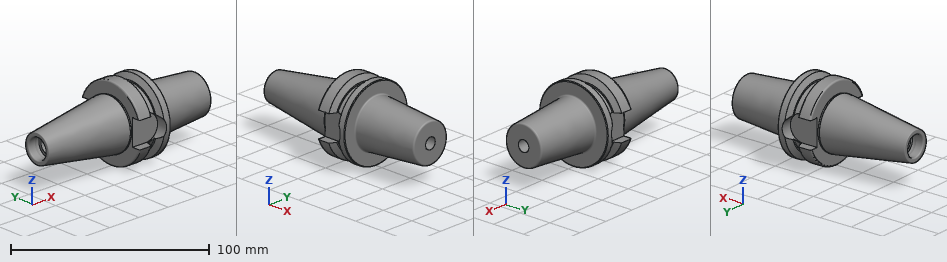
import cadquery as cq
import math

length = 108.4
gauge_x = 48.5
flange_start = 50.3
flange_end = 70.4

gauge_radius = 31.8 / 2
taper_ratio = 7 / 24
taper_end_radius = gauge_radius - gauge_x * taper_ratio / 2
taper_edge_round = 0.4
neck_radius = 31.2 / 2
neck_x = 49.4

flange_radius = 46.0 / 2
flange_front_round = 1.0
flange_back_chamfer = 0.4
groove_x = 62.0
groove_top_width = 8.0
groove_bottom_width = 4.1
groove_floor_radius = 18.8
flank_angle = 60
flank_depth = (groove_top_width - groove_bottom_width) / 2 * math.tan(math.radians(flank_angle))
flank_foot_radius = flange_radius - flank_depth

nose_end_radius = 12.0
nose_half_angle = 4.5
nose_root_radius = nose_end_radius + (length - flange_end) * math.tan(math.radians(nose_half_angle))
nose_round = 1.0
nose_root_fillet = 0.9

slot_width = 16.0
slot_end_x = 67.4
slot_floor_y = 16.3

mouth_radius = 12.5 / 2
mouth_round = 0.8
mouth_depth = 4.4
relief_start = 5.7
relief_radius = 13.1 / 2
relief_end = 7.3
thread_radius = 10.1 / 2
thread_end = 23.8
through_radius = 6.9 / 2
drill_point_angle = 118


def make_taper():
    taper_points = [
        (0, 0),
        (0, taper_end_radius),
        (gauge_x, gauge_radius),
        (neck_x - (gauge_radius - neck_radius), gauge_radius),
        (neck_x, neck_radius),
        (flange_start, neck_radius),
        (flange_start, 0),
    ]
    taper = cq.Workplane("XY").polyline(taper_points).close().revolve(360, (0, 0), (1, 0))
    return taper.faces("<X").edges().fillet(taper_edge_round)


def make_flange():
    flange = (
        cq.Workplane("YZ", origin=(flange_start, 0, 0))
        .circle(flange_radius)
        .extrude(flange_end - flange_start)
    )
    flange = flange.faces("<X").edges().fillet(flange_front_round)
    flange = flange.faces(">X").edges().chamfer(flange_back_chamfer)
    groove_points = [
        (groove_x - groove_top_width / 2, flange_radius),
        (groove_x - groove_bottom_width / 2, flank_foot_radius),
        (groove_x - groove_bottom_width / 2, groove_floor_radius),
        (groove_x + groove_bottom_width / 2, groove_floor_radius),
        (groove_x + groove_bottom_width / 2, flank_foot_radius),
        (groove_x + groove_top_width / 2, flange_radius),
    ]
    groove = cq.Workplane("XY").polyline(groove_points).close().revolve(360, (0, 0), (1, 0))
    return flange.cut(groove)


def make_nose():
    nose_points = [
        (flange_end, 0),
        (flange_end, nose_root_radius),
        (length, nose_end_radius),
        (length, 0),
    ]
    nose = cq.Workplane("XY").polyline(nose_points).close().revolve(360, (0, 0), (1, 0))
    return nose.faces(">X").edges().fillet(nose_round)


def make_slot(side):
    """Round-ended slot, open toward the taper; side is -1 or +1 along Y."""
    end_radius = slot_width / 2
    slot_depth = flange_radius - slot_floor_y
    return (
        cq.Workplane("XZ", origin=(0, side * slot_floor_y, 0))
        .moveTo(flange_start, -end_radius)
        .lineTo(slot_end_x - end_radius, -end_radius)
        .threePointArc((slot_end_x, 0), (slot_end_x - end_radius, end_radius))
        .lineTo(flange_start, end_radius)
        .close()
        .extrude(-side * slot_depth)
    )


def make_bore():
    """Rounded mouth, pilot, relief, threaded length with a drill point, and through hole."""
    point_length = (thread_radius - through_radius) / math.tan(math.radians(drill_point_angle / 2))
    mouth_mid = mouth_round * (1 - math.sqrt(0.5))
    return (
        cq.Workplane("XY")
        .moveTo(0, 0)
        .lineTo(0, mouth_radius + mouth_round)
        .threePointArc((mouth_mid, mouth_radius + mouth_mid), (mouth_round, mouth_radius))
        .lineTo(mouth_depth, mouth_radius)
        .lineTo(relief_start, relief_radius)
        .lineTo(relief_end, relief_radius)
        .lineTo(relief_end, thread_radius)
        .lineTo(thread_end, thread_radius)
        .lineTo(thread_end + point_length, through_radius)
        .lineTo(length, through_radius)
        .lineTo(length, 0)
        .close()
        .revolve(360, (0, 0), (1, 0))
    )


def fillet_nose_root(body):
    back_face_point = (flange_end, 0, (flange_radius + nose_root_radius) / 2)
    back_face = body.faces(cq.selectors.NearestToPointSelector(back_face_point))
    return back_face.edges(cq.selectors.RadiusNthSelector(0)).fillet(nose_root_fillet)


body = make_taper().union(make_flange()).union(make_nose())
body = fillet_nose_root(body)
for side in (-1, 1):
    body = body.cut(make_slot(side))
result = body.cut(make_bore())